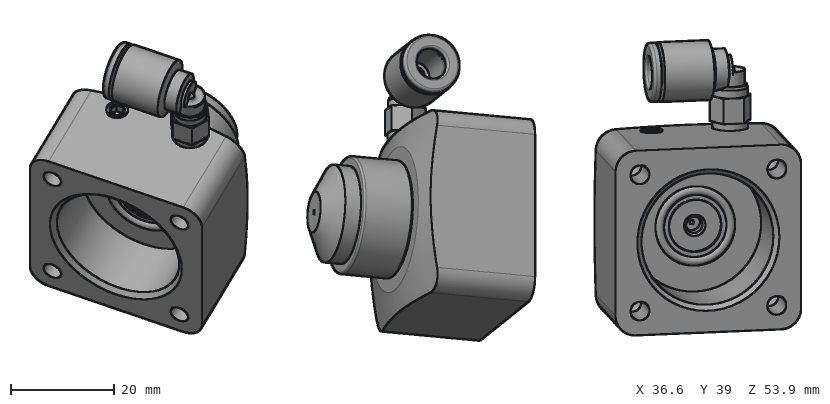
import cadquery as cq
import math

BODY_WIDTH = 36.6
BODY_HALF = BODY_WIDTH / 2
BODY_DEPTH = 22.5
BODY_CORNER_RADIUS = 4.0
BACK_FLAT_RADIUS = 14.2
BACK_CONE_ANGLE = 15.0

COLLAR_RADIUS = 11.5
COLLAR_END = 32.65
COLLAR_FILLET = 0.4
COLLAR_START = BODY_DEPTH + 0.2
CAP_NECK_RADIUS = 10.9
NOSE_RADIUS = 9.55
NOSE_CONE_START = 35.85
NOSE_TIP_RADIUS = 4.0
NOSE_END = 39.0

BORE_RADIUS = 13.0
BORE_CHAMFER = 1.0
BORE_DEPTH = 13.2
SEAL_OUTER_RADIUS = 7.85
SEAL_INNER_RADIUS = 6.15
SEAT_RADIUS = 5.15
SEAT_DEPTH = 0.5
NOZZLE_MOUTH_RADIUS = 2.1
NOZZLE_RADIUS = 1.6
NOZZLE_DEPTH = 3.0
ORIFICE_RADIUS = 0.4

MOUNT_OFFSET = 13.5
MOUNT_RADIUS = 1.85
MOUNT_DEPTH = 8.0
DRILL_POINT_ANGLE = 118.0

PORT_OFFSET = 7.75
PORT_Y = 17.63
SCREW_RADIUS = 2.1
SCREW_RECESS = 0.1
SOCKET_MOUTH_RADIUS = 1.5
SOCKET_CORNERS = 2.7
SOCKET_DEPTH = 2.0

OVERALL_HEIGHT = 53.9
TUBE_RADIUS = 5.83
TUBE_AXIS_Z = OVERALL_HEIGHT - BODY_HALF - TUBE_RADIUS
TUBE_START = -6.2
TUBE_END = 3.5
RING_RADIUS = 5.75
RING_START = -8.35
RING_END = -6.87
RING_FILLET = 0.55
CONNECTOR_NECK_RADIUS = 3.2
SHOULDER_RADIUS = 4.1
SHOULDER_START = 4.15
SHOULDER_END = 6.7
SHOULDER_TAPER_END = 7.1
ELBOW_RADIUS = 2.87

TUBE_HOLE_RADIUS = 3.05
TUBE_HOLE_FILLET = 0.45
TUBE_SEAT_RADIUS = 2.95
TUBE_SEAT_TAPER_START = -6.8
TUBE_SEAT_START = -6.35
TUBE_HOLE_END = 2.0
TUBE_BALL_RADIUS = 1.87

STEM_FOOT_RADIUS = 3.5
STEM_SINK = 1.0
HEX_BOTTOM = 19.67
HEX_TOP = 24.7
HEX_FLATS = 7.0
STEM_COLLAR_RADIUS = 3.42
STEM_COLLAR_SHOULDER = 26.25
STEM_COLLAR_TOP = 26.85
STEM_COLLAR_TOP_RADIUS = 3.2

STEM_GROOVE_RADIUS = 1.0
STEM_GROOVE_CENTRE = ELBOW_RADIUS - STEM_GROOVE_RADIUS
STEM_PEAK_RADIUS = STEM_GROOVE_CENTRE - STEM_GROOVE_RADIUS
STEM_PEAK_RISE = 0.85


def make_cap_and_body():
    body = (
        cq.Workplane("XZ")
        .rect(BODY_WIDTH, BODY_WIDTH)
        .extrude(-BODY_DEPTH)
        .edges("|Y")
        .fillet(BODY_CORNER_RADIUS)
    )
    rim_radius = BODY_WIDTH
    rim_y = BODY_DEPTH - (rim_radius - BACK_FLAT_RADIUS) * math.tan(math.radians(BACK_CONE_ANGLE))
    envelope = (
        cq.Workplane("XY")
        .polyline([(0, 0), (rim_radius, 0), (rim_radius, rim_y), (BACK_FLAT_RADIUS, BODY_DEPTH), (0, BODY_DEPTH)])
        .close()
        .revolve(360, (0, 0, 0), (0, 1, 0))
    )
    cap = (
        cq.Workplane("XY")
        .moveTo(0, BODY_DEPTH)
        .lineTo(CAP_NECK_RADIUS, BODY_DEPTH)
        .lineTo(CAP_NECK_RADIUS, COLLAR_START)
        .lineTo(COLLAR_RADIUS - COLLAR_FILLET, COLLAR_START)
        .radiusArc((COLLAR_RADIUS, COLLAR_START + COLLAR_FILLET), -COLLAR_FILLET)
        .lineTo(COLLAR_RADIUS, COLLAR_END - COLLAR_FILLET)
        .radiusArc((COLLAR_RADIUS - COLLAR_FILLET, COLLAR_END), -COLLAR_FILLET)
        .lineTo(NOSE_RADIUS, COLLAR_END)
        .lineTo(NOSE_RADIUS, NOSE_CONE_START)
        .lineTo(NOSE_TIP_RADIUS, NOSE_END)
        .lineTo(0, NOSE_END)
        .close()
        .revolve(360, (0, 0, 0), (0, 1, 0))
    )
    return body.intersect(envelope).union(cap)


def make_bore():
    """Everything removed from the front along the main axis."""
    seat_y = BORE_DEPTH + SEAT_DEPTH
    nozzle_end = seat_y + NOZZLE_DEPTH
    return (
        cq.Workplane("XY")
        .moveTo(0, 0)
        .lineTo(BORE_RADIUS + BORE_CHAMFER, 0)
        .lineTo(BORE_RADIUS, BORE_CHAMFER)
        .lineTo(BORE_RADIUS, BORE_DEPTH)
        .lineTo(SEAT_RADIUS, BORE_DEPTH)
        .lineTo(SEAT_RADIUS, seat_y)
        .lineTo(NOZZLE_MOUTH_RADIUS, seat_y)
        .lineTo(NOZZLE_RADIUS, seat_y + NOZZLE_MOUTH_RADIUS - NOZZLE_RADIUS)
        .lineTo(NOZZLE_RADIUS, nozzle_end)
        .lineTo(ORIFICE_RADIUS, nozzle_end)
        .lineTo(ORIFICE_RADIUS, NOSE_END)
        .lineTo(0, NOSE_END)
        .close()
        .revolve(360, (0, 0, 0), (0, 1, 0))
    )


def make_seal():
    """Sealing ring half sunk into the bore floor."""
    centre_radius = (SEAL_OUTER_RADIUS + SEAL_INNER_RADIUS) / 2
    section_radius = (SEAL_OUTER_RADIUS - SEAL_INNER_RADIUS) / 2
    return (
        cq.Workplane("XY")
        .center(centre_radius, BORE_DEPTH)
        .circle(section_radius)
        .revolve(360, (-centre_radius, 0, 0), (-centre_radius, 1, 0))
    )


def make_mount_hole(x, z):
    point_depth = MOUNT_RADIUS / math.tan(math.radians(DRILL_POINT_ANGLE / 2))
    return (
        cq.Workplane("XY", origin=(x, 0, z))
        .polyline([(0, 0), (MOUNT_RADIUS, 0), (MOUNT_RADIUS, MOUNT_DEPTH), (0, MOUNT_DEPTH + point_depth)])
        .close()
        .revolve(360, (0, 0, 0), (0, 1, 0))
    )


def make_set_screw_cut():
    top = cq.Workplane("XY", origin=(-PORT_OFFSET, PORT_Y, BODY_HALF))
    recess = top.circle(SCREW_RADIUS).extrude(-SCREW_RECESS)
    socket = top.polygon(6, SOCKET_CORNERS).extrude(-SOCKET_DEPTH)
    floor = top.workplane(offset=-SCREW_RECESS)
    countersink_depth = SOCKET_MOUTH_RADIUS - SOCKET_CORNERS / 2
    countersink = floor.circle(SOCKET_MOUTH_RADIUS).workplane(offset=-countersink_depth)
    countersink = countersink.circle(SOCKET_CORNERS / 2).loft()
    return recess.union(countersink).union(socket)


def make_stem():
    axis = (PORT_OFFSET, PORT_Y, 0)
    turned = (
        cq.Workplane("XZ", origin=axis)
        .moveTo(0, BODY_HALF - STEM_SINK)
        .lineTo(STEM_FOOT_RADIUS, BODY_HALF - STEM_SINK)
        .lineTo(STEM_FOOT_RADIUS, HEX_BOTTOM)
        .lineTo(STEM_COLLAR_RADIUS, HEX_BOTTOM)
        .lineTo(STEM_COLLAR_RADIUS, STEM_COLLAR_SHOULDER)
        .lineTo(STEM_COLLAR_TOP_RADIUS, STEM_COLLAR_TOP)
        .lineTo(ELBOW_RADIUS, STEM_COLLAR_TOP)
        .lineTo(ELBOW_RADIUS, TUBE_AXIS_Z)
        .threePointArc(
            (STEM_GROOVE_CENTRE, TUBE_AXIS_Z - STEM_GROOVE_RADIUS),
            (STEM_PEAK_RADIUS, TUBE_AXIS_Z),
        )
        .lineTo(0, TUBE_AXIS_Z + STEM_PEAK_RISE)
        .close()
        .revolve(360, (0, 0, 0), (0, 1, 0))
    )
    hexagon = (
        cq.Workplane("XY", origin=(PORT_OFFSET, PORT_Y, HEX_BOTTOM))
        .polygon(6, HEX_FLATS / math.cos(math.pi / 6))
        .extrude(HEX_TOP - HEX_BOTTOM)
    )
    return turned.union(hexagon)


def make_tube_connector():
    return (
        cq.Workplane("XZ", origin=(0, PORT_Y, TUBE_AXIS_Z))
        .moveTo(RING_START, 0)
        .lineTo(RING_START, RING_RADIUS - RING_FILLET)
        .radiusArc((RING_START + RING_FILLET, RING_RADIUS), RING_FILLET)
        .lineTo(RING_END, RING_RADIUS)
        .lineTo(RING_END, CONNECTOR_NECK_RADIUS)
        .lineTo(TUBE_START, CONNECTOR_NECK_RADIUS)
        .lineTo(TUBE_START, TUBE_RADIUS)
        .lineTo(TUBE_END, TUBE_RADIUS)
        .lineTo(SHOULDER_START, SHOULDER_RADIUS)
        .lineTo(SHOULDER_END, SHOULDER_RADIUS)
        .lineTo(SHOULDER_TAPER_END, ELBOW_RADIUS)
        .lineTo(PORT_OFFSET, ELBOW_RADIUS)
        .lineTo(PORT_OFFSET, 0)
        .close()
        .revolve(360, (0, 0, 0), (1, 0, 0))
    )


def make_tube_hole():
    """Tube hole with a rounded mouth, leaving a half ball on its floor."""
    return (
        cq.Workplane("XZ", origin=(0, PORT_Y, TUBE_AXIS_Z))
        .moveTo(RING_START, 0)
        .lineTo(RING_START, TUBE_HOLE_RADIUS + TUBE_HOLE_FILLET)
        .radiusArc((RING_START + TUBE_HOLE_FILLET, TUBE_HOLE_RADIUS), -TUBE_HOLE_FILLET)
        .lineTo(TUBE_SEAT_TAPER_START, TUBE_HOLE_RADIUS)
        .lineTo(TUBE_SEAT_START, TUBE_SEAT_RADIUS)
        .lineTo(TUBE_HOLE_END, TUBE_SEAT_RADIUS)
        .lineTo(TUBE_HOLE_END, TUBE_BALL_RADIUS)
        .radiusArc((TUBE_HOLE_END - TUBE_BALL_RADIUS, 0), -TUBE_BALL_RADIUS)
        .close()
        .revolve(360, (0, 0, 0), (1, 0, 0))
    )


housing = make_cap_and_body().cut(make_bore()).union(make_seal())
for x_side in (-1, 1):
    for z_side in (-1, 1):
        housing = housing.cut(make_mount_hole(x_side * MOUNT_OFFSET, z_side * MOUNT_OFFSET))
housing = housing.cut(make_set_screw_cut())

fitting = make_tube_connector().union(make_stem()).cut(make_tube_hole())

result = housing.union(fitting)